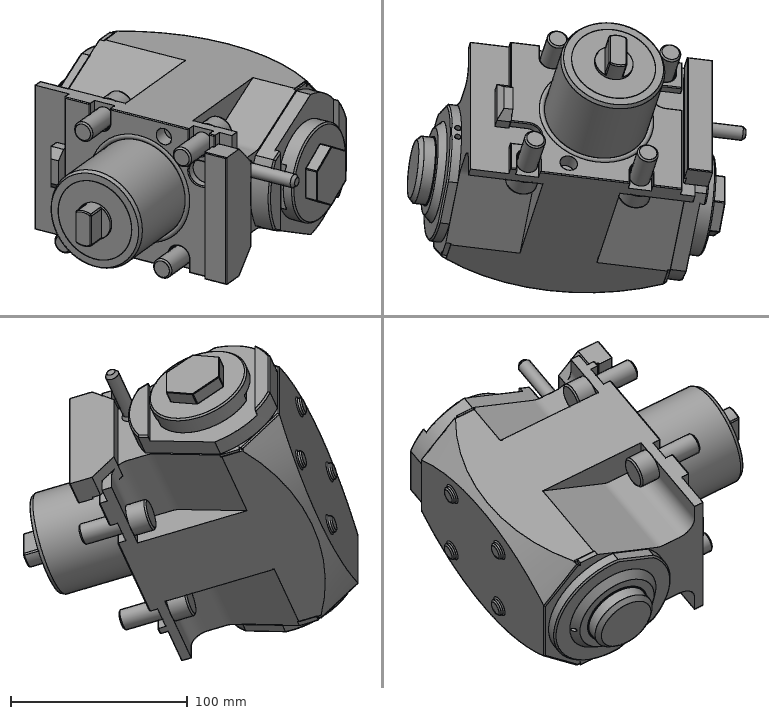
import cadquery as cq
import math


housing_left = -71.7
housing_right = 57.8
housing_back = 111.6
half_height = 45.0
plate_front = 5.0
plate_back = 10.7
housing_mid_x = (housing_left + housing_right) / 2
far = 200.0
overlap = 1.0

back_arc_peak_y = 107.8
back_arc_radius = 116.6
back_arc_half_width = 80.0
back_sweep = 50.0

slope_top_y = 76.7
slope_foot_y = 33.9
pocket_floor_z = 24.4
pocket_fillet = 10.0
rib_left = -15.6
rib_right = 28.8
slope_angle = math.atan2(half_height - pocket_floor_z, slope_top_y - slope_foot_y)

relief_depth = 0.4
relief_front_y = 75.9
relief_notch_y = 87.4
relief_notch_depth = 2.8
left_relief_length = 3.0
right_relief_length = 1.4
end_edge_chamfer = 0.7

pad_half_width = 49.5
pad_chamfer = 0.6
screw_places = [(-26.0, 36.5), (39.0, 36.5), (-39.0, -36.5), (26.0, -36.5)]
screw_slot_width = 13.2
pin_hole_places = [(16.0, 36.25), (-16.0, -36.25)]
pin_hole_diameter = 10.0
pin_hole_depth = 9.0
side_slot_width = 15.2
left_slot_z = -19.0
left_slot_tip_x = -31.6
right_slot_z = 19.0
right_slot_tip_x = 32.3

screw_diameter = 12.0
screw_tip_y = -19.0
screw_head_diameter = 18.0
screw_head_height = 12.0
screw_chamfer = 1.0

shank_radius = 30.0
shank_tip_y = -49.3
shank_chamfer_length = 2.2
shank_chamfer_depth = 1.2
seal_ring_radius = 31.5
seal_section_radius = 1.6
seal_center_y = 0.6
end_seam_radius = 24.2
end_seam_depth = 0.2
drive_radius = 11.0
drive_collar_y = -50.8
drive_tip_y = -62.3
drive_lug_width = 10.4
drive_chamfer = 0.7

key_left = -57.6
key_right = -49.5
key_half_height = 12.7
key_shoulder_y = -1.0
key_tip_y = -6.3
key_side_taper = 3.0
key_end_taper = 5.0

bar_left = 50.0
bar_right = 64.6
bar_half_height = 39.7
bar_front_y = -12.3
bar_back_y = 14.6
bar_bevel_y = 1.5
bar_hook_y = 11.6
bar_chamfer = 0.5
bar_relief_depth = 1.1
bar_relief_front_y = -3.4

pin_y = 22.3
pin_z = 17.0
pin_radius = 4.0
pin_tip_x = 90.29
pin_tip_length = 2.0
pin_tip_radius = 2.5
pin_root_radius = 5.3
pin_root_length = 2.1

spindle_y = 69.6
left_disk_x = -78.0
left_disk_radius = 39.2
left_disk_chamfer = 1.0
left_disk_flat = 36.9
hole_flat = 38.8
left_cone_x = -82.3
left_cone_wide_radius = 28.9
left_cone_narrow_radius = 24.9
nose_x = -91.85
nose_radius = 19.2
nose_collar_radius = 19.8
nose_collar_length = 0.5
nose_chamfer_length = 2.6
spanner_hole_diameter = 3.4
spanner_hole_x = -73.8
spanner_hole_z = 3.1
spanner_hole_depth = 4.0
cone_hole_diameter = 2.4
cone_hole_radius = 27.3
cone_hole_depth = 3.0

flange_radius = 44.4
flange_flat = 36.6
flange_back_y = 110.7
flange_x = 67.0
lip_x = 70.6
lip_chamfer = 1.0
lip_gap_half_width = 32.3
neck_half_width = 25.9
nut_x = 77.1
nut_radius = 29.4
nut_chamfer = 1.0
hex_x = 85.0
hex_across_flats = 32.0
hex_chamfer = 0.4

button_spacing = 49.2
button_base_radius = 5.9
button_base_height = 0.7
button_radius = 4.9
button_top_radius = 4.0
button_top_y = 114.45


def box(x0, x1, y0, y1, z0, z1):
    block = cq.Workplane("XY").box(x1 - x0, y1 - y0, z1 - z0, centered=False)
    return block.translate((x0, y0, z0))


def turned_y(profile, x=0.0, z=0.0):
    """Revolve (radius, y) points about the line along Y through x, z."""
    return cq.Workplane("XY").polyline(profile).close().revolve(360, (0, 0), (0, 1)).translate((x, 0, z))


def turned_x(profile, y=spindle_y, z=0.0):
    """Revolve (x, radius) points about the line along X through y, z."""
    return cq.Workplane("XY").polyline(profile).close().revolve(360, (0, 0), (1, 0)).translate((0, y, z))


def half_turn(shape):
    """Turn a shape by 180 degrees about the shank axis."""
    return shape.rotate((0, 0, 0), (0, 1, 0), 180)


def back_corner_cutter():
    peak = back_arc_peak_y
    drop = back_arc_radius - math.sqrt(back_arc_radius**2 - back_arc_half_width**2)
    left = housing_mid_x - back_arc_half_width
    right = housing_mid_x + back_arc_half_width
    outline = (
        cq.Workplane("XY", origin=(0, 0, half_height))
        .moveTo(left, peak - drop)
        .threePointArc((housing_mid_x, peak), (right, peak - drop))
        .lineTo(right, far)
        .lineTo(left, far)
        .close()
    )
    sweep = cq.Vector(0, back_sweep, -back_sweep)
    return cq.Workplane(cq.Solid.extrudeLinear(outline.val(), [], sweep))


def pocket(x0, x1):
    """Upper side pocket between x0 and x1: slope, floor and rounded foot at the plate."""
    over = half_height + overlap
    over_y = slope_top_y + (over - half_height) / math.tan(slope_angle)
    profile = [
        (plate_back, over),
        (plate_back, pocket_floor_z),
        (slope_foot_y, pocket_floor_z),
        (over_y, over),
    ]
    block = cq.Workplane("YZ", origin=(x0, 0, 0)).polyline(profile).close().extrude(x1 - x0)
    floor_edges = block.faces("<Z").edges("|X")
    return floor_edges.fillet(pocket_fillet)


def end_relief(x0, x1):
    """Shallow step in the top and bottom faces, ending in a notch with a sloped back wall."""
    floor_z = half_height - relief_depth
    notch_z = half_height - relief_notch_depth
    profile = [
        (relief_front_y, half_height),
        (relief_front_y, floor_z),
        (relief_notch_y, floor_z),
        (relief_notch_y, notch_z),
        (relief_notch_y + relief_notch_depth, half_height),
    ]
    top = cq.Workplane("YZ", origin=(x0, 0, 0)).polyline(profile).close().extrude(x1 - x0)
    return top.union(top.mirror("XY"))


def housing():
    body = box(housing_left, housing_right, plate_front, housing_back, -half_height, half_height)
    corner = back_corner_cutter()
    body = body.cut(corner).cut(corner.mirror("XY"))
    back_edges = cq.selectors.BoxSelector((-far, relief_notch_y, -far), (far, far, far))
    body = body.faces("<X or >X").edges(back_edges).edges("not |Y").chamfer(end_edge_chamfer)
    reach = overlap - housing_left
    for x0, x1 in [(-reach, rib_left), (rib_right, reach)]:
        side = pocket(x0, x1)
        body = body.cut(side).cut(half_turn(side))
    body = body.cut(end_relief(housing_left, housing_left + left_relief_length))
    return body.cut(end_relief(housing_right - right_relief_length, housing_right))


def pad():
    plate = box(-pad_half_width, pad_half_width, 0, plate_front, -half_height, half_height)
    radius = screw_slot_width / 2
    for x, z in screw_places:
        edge_z = math.copysign(far, z)
        plate = plate.cut(box(x - radius, x + radius, 0, plate_front, min(z, edge_z), max(z, edge_z)))
        plate = plate.cut(turned_y([(0, 0), (radius, 0), (radius, plate_front), (0, plate_front)], x, z))
    slot_radius = side_slot_width / 2
    slots = [(left_slot_tip_x, left_slot_z, -1), (right_slot_tip_x, right_slot_z, 1)]
    for tip_x, z, side in slots:
        center_x = tip_x + side * slot_radius
        edge_x = side * far
        x0, x1 = sorted((center_x, edge_x))
        plate = plate.cut(box(x0, x1, 0, plate_front, z - slot_radius, z + slot_radius))
        disk = [(0, 0), (slot_radius, 0), (slot_radius, plate_front), (0, plate_front)]
        plate = plate.cut(turned_y(disk, center_x, z))
    return plate.faces("<Y").edges().chamfer(pad_chamfer)


def pin_holes():
    radius = pin_hole_diameter / 2
    profile = [(0, 0), (radius, 0), (radius, pin_hole_depth), (0, pin_hole_depth)]
    holes = cq.Workplane("XY")
    for x, z in pin_hole_places:
        holes = holes.add(turned_y(profile, x, z))
    return holes.combine()


def mounting_screw(x, z):
    radius = screw_diameter / 2
    head_radius = screw_head_diameter / 2
    head_top = plate_back + screw_head_height
    profile = [
        (0, screw_tip_y),
        (radius - screw_chamfer, screw_tip_y),
        (radius, screw_tip_y + screw_chamfer),
        (radius, plate_back),
        (head_radius, plate_back),
        (head_radius, head_top - screw_chamfer),
        (head_radius - screw_chamfer, head_top),
        (0, head_top),
    ]
    return turned_y(profile, x, z)


def shank():
    profile = [
        (0, plate_front),
        (shank_radius, plate_front),
        (shank_radius, shank_tip_y + shank_chamfer_length),
        (shank_radius - shank_chamfer_depth, shank_tip_y),
        (end_seam_radius, shank_tip_y),
        (end_seam_radius, shank_tip_y + end_seam_depth),
        (drive_radius, shank_tip_y + end_seam_depth),
        (drive_radius, drive_collar_y),
        (0, drive_collar_y),
    ]
    seal = (
        cq.Workplane("XY")
        .center(seal_ring_radius, seal_center_y)
        .circle(seal_section_radius)
        .revolve(360, (-seal_ring_radius, 0), (-seal_ring_radius, 1))
    )
    lug_profile = [
        (0, shank_tip_y),
        (drive_radius, shank_tip_y),
        (drive_radius, drive_tip_y),
        (0, drive_tip_y),
    ]
    half = drive_lug_width / 2
    lug = turned_y(lug_profile).intersect(box(-half, half, -far, far, -far, far))
    lug = lug.faces("<X or >X or <Y").edges().chamfer(drive_chamfer)
    return turned_y(profile).union(seal).union(lug)


def locating_key():
    base = box(key_left, key_right, key_shoulder_y, plate_front, -key_half_height, key_half_height)
    side_profile = [
        (key_left, key_shoulder_y),
        (key_left + key_side_taper, key_tip_y),
        (key_right, key_tip_y),
        (key_right, key_shoulder_y),
    ]
    end_profile = [
        (key_shoulder_y, -key_half_height),
        (key_tip_y, -key_half_height + key_end_taper),
        (key_tip_y, key_half_height - key_end_taper),
        (key_shoulder_y, key_half_height),
    ]
    tip = cq.Workplane("XY").polyline(side_profile).close().extrude(key_half_height, both=True)
    ends = cq.Workplane("YZ", origin=(key_left, 0, 0)).polyline(end_profile).close()
    return base.union(tip.intersect(ends.extrude(key_right - key_left)))


def clamp_bar():
    bevel = bar_back_y - bar_bevel_y
    profile = [
        (bar_front_y, -bar_half_height),
        (bar_bevel_y, -bar_half_height),
        (bar_back_y, -bar_half_height + bevel),
        (bar_back_y, bar_half_height - bevel),
        (bar_bevel_y, bar_half_height),
        (bar_front_y, bar_half_height),
    ]
    bar = cq.Workplane("YZ", origin=(bar_left, 0, 0)).polyline(profile).close()
    bar = bar.extrude(bar_right - bar_left)
    bar = bar.faces("<Y").edges().chamfer(bar_chamfer)
    bar = bar.cut(box(bar_left, housing_right, plate_front, bar_hook_y, -far, far))
    relief_right = bar_left + bar_relief_depth
    return bar.cut(box(bar_left, relief_right, bar_relief_front_y, plate_front, -far, far))


def locating_pin():
    profile = [
        (housing_right - overlap, 0),
        (housing_right - overlap, pin_root_radius),
        (housing_right, pin_root_radius),
        (housing_right + pin_root_length, pin_radius),
        (pin_tip_x - pin_tip_length, pin_radius),
        (pin_tip_x, pin_tip_radius),
        (pin_tip_x, 0),
    ]
    return turned_x(profile, pin_y, pin_z)


def flat_sided_bounds(distance):
    """Region around the spindle between two flats parallel to the housing slopes."""
    bounds = box(-far, far, -far, far, -far, far)
    upper = box(-far, far, -far, far, distance, far).rotate((0, 0, 0), (1, 0, 0), math.degrees(slope_angle))
    upper = upper.translate((0, spindle_y, 0))
    return bounds.cut(upper).cut(upper.mirror("XY"))


def left_spindle_end():
    profile = [
        (housing_left, 0),
        (housing_left, left_disk_radius),
        (left_disk_x, left_disk_radius),
        (left_disk_x, 0),
    ]
    disk = turned_x(profile).intersect(flat_sided_bounds(left_disk_flat))
    disk = disk.faces("<X").edges().chamfer(left_disk_chamfer)
    flat_y = spindle_y - hole_flat
    disk = disk.cut(box(-far, housing_left, -far, flat_y, -far, far))
    nose_profile = [
        (left_disk_x, 0),
        (left_disk_x, left_cone_wide_radius),
        (left_cone_x, left_cone_narrow_radius),
        (left_cone_x, nose_collar_radius),
        (left_cone_x - nose_collar_length, nose_collar_radius),
        (left_cone_x - nose_collar_length, nose_radius),
        (nose_x + nose_chamfer_length, nose_radius),
        (nose_x, nose_radius - nose_chamfer_length),
        (nose_x, 0),
    ]
    end = disk.union(turned_x(nose_profile))
    radius = spanner_hole_diameter / 2
    hole_end_y = flat_y + spanner_hole_depth
    hole = [(0, flat_y), (radius, flat_y), (radius, hole_end_y), (0, hole_end_y)]
    for z in (-spanner_hole_z, spanner_hole_z):
        end = end.cut(turned_y(hole, spanner_hole_x, z))
    radius = cone_hole_diameter / 2
    hole_end_x = left_disk_x + cone_hole_depth
    hole = [(left_cone_x, 0), (left_cone_x, radius), (hole_end_x, radius), (hole_end_x, 0)]
    return end.cut(turned_x(hole, spindle_y + cone_hole_radius))


def right_spindle_end():
    profile = [(housing_right, 0), (housing_right, flange_radius), (lip_x, flange_radius), (lip_x, 0)]
    flange = turned_x(profile).intersect(flat_sided_bounds(flange_flat))
    flange = flange.cut(box(housing_right, far, flange_back_y, far, -far, far))
    flange = flange.faces(">X").edges().chamfer(lip_chamfer)
    lip_front_y = spindle_y - lip_gap_half_width
    lip_back_y = spindle_y + lip_gap_half_width
    flange = flange.cut(box(flange_x, far, lip_front_y, lip_back_y, -far, far))
    nut_profile = [
        (flange_x, 0),
        (flange_x, nut_radius),
        (nut_x - nut_chamfer, nut_radius),
        (nut_x, nut_radius - nut_chamfer),
        (nut_x, 0),
    ]
    nut = turned_x(nut_profile)
    nut = nut.cut(box(flange_x, lip_x, -far, spindle_y - neck_half_width, -far, far))
    nut = nut.cut(box(flange_x, lip_x, spindle_y + neck_half_width, far, -far, far))
    across_corners = hex_across_flats / math.cos(math.pi / 6)
    hexagon = cq.Workplane("YZ", origin=(nut_x, spindle_y, 0)).transformed(rotate=(0, 0, 90))
    hexagon = hexagon.polygon(6, across_corners).extrude(hex_x - nut_x).edges().chamfer(hex_chamfer)
    return flange.union(nut).union(hexagon)


def button_screw(x, z):
    base_top = housing_back + button_base_height
    profile = [
        (0, housing_back),
        (button_base_radius, housing_back),
        (button_radius, base_top),
        (button_radius, button_top_y - (button_radius - button_top_radius)),
        (button_top_radius, button_top_y),
        (0, button_top_y),
    ]
    return turned_y(profile, x, z)


result = housing().union(pad()).cut(pin_holes())
for screw_x, screw_z in screw_places:
    result = result.union(mounting_screw(screw_x, screw_z))
result = result.union(shank()).union(locating_key()).union(clamp_bar()).union(locating_pin())
result = result.union(left_spindle_end()).union(right_spindle_end())
for button_x in (-button_spacing / 2, button_spacing / 2):
    for button_z in (-button_spacing / 2, button_spacing / 2):
        result = result.union(button_screw(button_x, button_z))